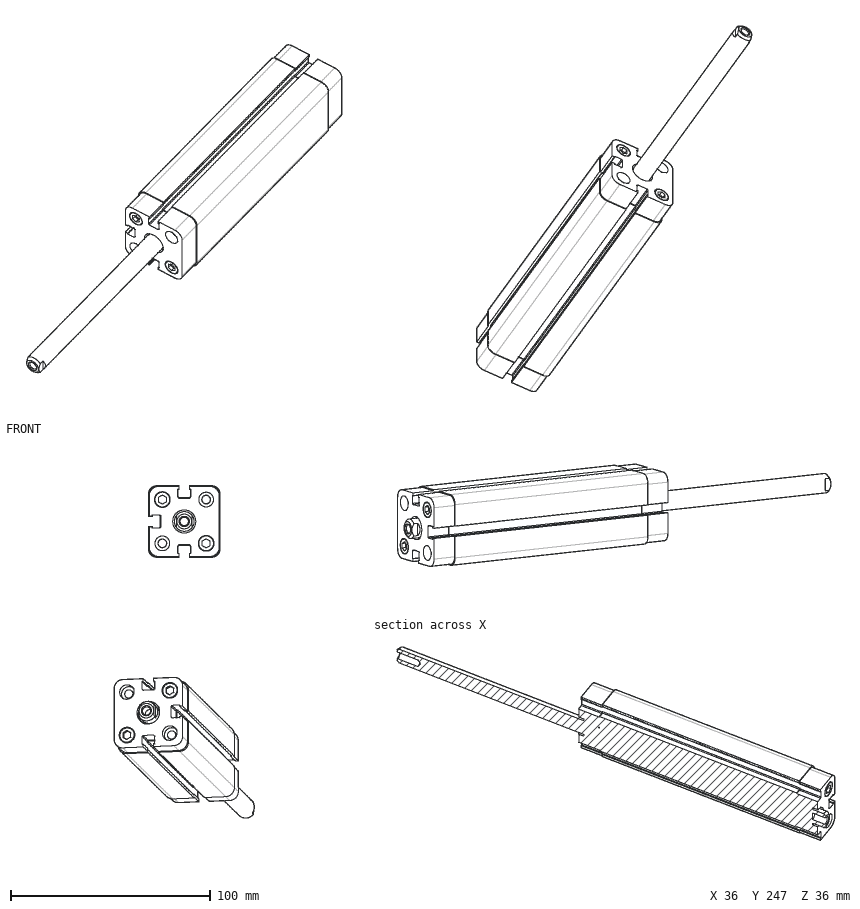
import cadquery as cq
import math

total_length = 247.0
rear_stub_length = 4.7
cap_length = 12.0
housing_length = 137.8
rear_face_y = total_length / 2 - rear_stub_length
front_face_y = rear_face_y - housing_length
housing_middle_y = (front_face_y + rear_face_y) / 2
front_tip_y = -total_length / 2

barrel_side = 36.0
cap_side = 35.0
corner_radius = 4.5

slot_opening_width = 5.2
slot_inner_width = 6.5
slot_lip_thickness = 1.5
slot_depth = 6.0
slot_floor_chamfer = 0.5
slot_angles = (0, 90, 180)

hole_spacing = 22.0
hole_offset = hole_spacing / 2
through_hole_diameter = 4.2
counterbore_diameter = 7.5
counterbore_depth = 4.7
screw_bore_diameter = 8.0
screw_head_diameter = 7.5
screw_gap_depth = 1.0
socket_width = 4.0
socket_depth = 2.0
open_hole_centers = ((hole_offset, hole_offset), (-hole_offset, -hole_offset))
screw_centers = ((-hole_offset, hole_offset), (hole_offset, -hole_offset))

rod_diameter = 10.0
rod_end_diameter = 7.5
rod_chamfer = (rod_diameter - rod_end_diameter) / 2
rod_seal_diameter = 11.5
rod_seal_depth = 3.0

flat_spacing = 7.7
flat_length = 3.5
shoulder_length = 0.7

thread_diameter = 4.2
thread_mouth_diameter = 5.2
thread_depth = 12.0
drill_point_angle = 120


def lipped_slot(side, length):
    """Cutter for a slot in the top of a bar with the given side, starting at Y = 0."""
    top_z = side / 2
    lip_z = top_z - slot_lip_thickness
    floor_z = top_z - slot_depth
    right_half = [
        (slot_opening_width / 2, top_z),
        (slot_opening_width / 2, lip_z),
        (slot_inner_width / 2, lip_z),
        (slot_inner_width / 2, floor_z + slot_floor_chamfer),
        (slot_inner_width / 2 - slot_floor_chamfer, floor_z),
    ]
    left_half = [(-x, z) for x, z in reversed(right_half)]
    return cq.Workplane("XZ").polyline(right_half + left_half).close().extrude(-length)


def slotted_bar(side, start_y, length):
    """Square bar along +Y with rounded long edges and a lipped slot in three sides."""
    bar = cq.Workplane("XY").box(side, length, side, centered=(True, False, True))
    bar = bar.edges("|Y").fillet(corner_radius)
    for angle in slot_angles:
        bar = bar.cut(lipped_slot(side, length).rotate((0, 0, 0), (0, -1, 0), angle))
    return bar.translate((0, start_y, 0))


def cylinder_along_y(diameter, start_y, length, x=0, z=0):
    """Cylinder that starts at start_y and runs towards +Y."""
    disc = cq.Workplane("XZ", origin=(x, start_y, z)).circle(diameter / 2)
    return disc.extrude(-length)


def mirror_to_rear_cap(cutter):
    """Join a front-cap cutter with its copy for the rear cap."""
    return cutter.union(cutter.mirror("XZ", (0, housing_middle_y, 0)))


def open_hole(x, z):
    """Through hole with a counterbore in both caps."""
    counterbore = cylinder_along_y(counterbore_diameter, front_face_y, counterbore_depth, x, z)
    through_hole = cylinder_along_y(through_hole_diameter, front_face_y, housing_length, x, z)
    return mirror_to_rear_cap(counterbore).union(through_hole)


def screw_outline(x, z):
    """Gap around a flush screw head and its hexagon socket, in both caps."""
    bore = cylinder_along_y(screw_bore_diameter, front_face_y, screw_gap_depth, x, z)
    head = cylinder_along_y(screw_head_diameter, front_face_y, screw_gap_depth, x, z)
    face = cq.Workplane("XZ", origin=(x, front_face_y, z)).transformed(rotate=(0, 0, 90))
    socket_corner_diameter = socket_width / math.cos(math.radians(30))
    socket = face.polygon(6, socket_corner_diameter).extrude(-socket_depth)
    return mirror_to_rear_cap(bore.cut(head).union(socket))


def wrench_flats():
    """Cutters for the two flats at the front rod tip, each ending in a sloped shoulder."""
    flat_x = flat_spacing / 2
    outer_x = rod_diameter / 2
    shoulder_start_y = front_tip_y + flat_length
    shoulder_end_y = shoulder_start_y + shoulder_length
    profile = [
        (flat_x, front_tip_y),
        (outer_x, front_tip_y),
        (outer_x, shoulder_end_y),
        (flat_x, shoulder_start_y),
    ]
    right_flat = cq.Workplane("XY").polyline(profile).close().extrude(rod_diameter / 2, both=True)
    return right_flat.union(right_flat.mirror("YZ"))


def threaded_hole():
    """Blind hole in the front rod tip with a chamfered mouth and a drill-point bottom."""
    hole_radius = thread_diameter / 2
    mouth_radius = thread_mouth_diameter / 2
    mouth_end_y = front_tip_y + mouth_radius - hole_radius
    cone_start_y = front_tip_y + thread_depth
    cone_length = hole_radius / math.tan(math.radians(drill_point_angle / 2))
    profile = [
        (0, front_tip_y),
        (mouth_radius, front_tip_y),
        (hole_radius, mouth_end_y),
        (hole_radius, cone_start_y),
        (0, cone_start_y + cone_length),
    ]
    return cq.Workplane("XY").polyline(profile).close().revolve(360, (0, 0, 0), (0, 1, 0))


barrel_length = housing_length - 2 * cap_length
front_cap = slotted_bar(cap_side, front_face_y, cap_length)
barrel = slotted_bar(barrel_side, front_face_y + cap_length, barrel_length)
rear_cap = slotted_bar(cap_side, rear_face_y - cap_length, cap_length)
housing = front_cap.union(barrel).union(rear_cap)
for x, z in open_hole_centers:
    housing = housing.cut(open_hole(x, z))
for x, z in screw_centers:
    housing = housing.cut(screw_outline(x, z))
seal_recess = cylinder_along_y(rod_seal_diameter, front_face_y, rod_seal_depth)
housing = housing.cut(mirror_to_rear_cap(seal_recess))

rod = cylinder_along_y(rod_diameter, front_tip_y, total_length).faces("|Y").chamfer(rod_chamfer)
for tip_cutter in (wrench_flats(), threaded_hole()):
    rod = rod.cut(tip_cutter).cut(tip_cutter.mirror("XZ"))

result = housing.union(rod)